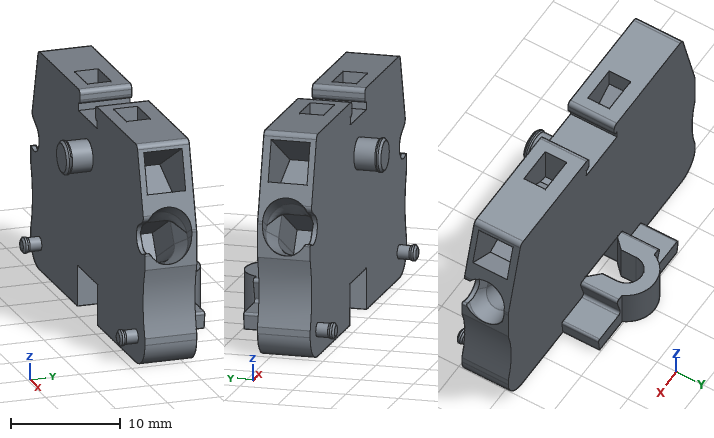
import cadquery as cq
import math

LENGTH = 31.97
HALF = LENGTH / 2
HEIGHT = 21.0
THICKNESS = 5.0
SLANT_ANGLE = 15.0
SLANT_START_Z = 12.95
SLANT_ROUND = 0.95
TOP_ROUND = 0.55
BOTTOM_ROUND = 2.43
GRIP_BOTTOM_Z = 3.07
GRIP_TOP_Z = 9.65
GRIP_DEPTH = 0.5

OPENING_HALF = 2.62
OPENING_FLOOR_Z = 18.93
RIM_HALF = 2.15
RIM_BOTTOM_Z = 19.63
RIM_ROUND = 0.45

TEST_INNER_X = 3.65
TEST_OUTER_X = 7.3
TEST_BREAK_X = 4.48
TEST_FRONT_Y = 1.2
TEST_BACK_Y = 3.52
TEST_DEPTH = 1.92
TEST_SHALLOW_ANGLE = 12.0

TOOL_FRONT_Y = 0.58
TOOL_BACK_Y = 4.25
TOOL_TOP_Z = 20.3
TOOL_BOTTOM_Z = 16.55
TOOL_FLOOR_LENGTH = 3.45
TOOL_ROOF_LENGTH = 7.2

ENTRY_ANGLE = 30.0
ENTRY_CENTRE_Y = 2.33
ENTRY_CENTRE_Z = 12.82
ENTRY_RADIUS = 2.17
ENTRY_FLAT = 0.55
ENTRY_DEPTH = 1.5
FUNNEL_LENGTH = 2.15
DUCT_WIDTH = 3.05
DUCT_TOP = 1.98
DUCT_LENGTH = 5.75
OUTSIDE = 3.2

NOTCH_RADIUS = 1.37
NOTCH_END_X = 15.0
NOTCH_END_Z = 12.3
NOTCH_DEPTH = 0.95
NOTCH_UPPER_LIP = 0.58
NOTCH_LOWER_LIP = 0.15

TAB_HEIGHT = 3.93
TAB_DEPTH = 3.93
BLOCK_HALF = 3.7
BLOCK_UNDERCUT = 17.0
BLOCK_ROUND = 0.3
WING_HALF = 6.85
WING_HEIGHT = 1.6
WING_UNDERCUT = 7.6
WING_ROUND = 0.22
RING_Y = 7.65
RING_RADIUS = 3.05
KEYHOLE_RADIUS = 1.6
MOUTH_HALF = 2.7
MOUTH_CHAMFER = MOUTH_HALF - KEYHOLE_RADIUS
RECESS_WIDTH = 5.55
RECESS_X = -0.05

MAIN_PIN_Z = 15.5
MAIN_PIN_DIAMETER = 3.0
MAIN_PIN_LENGTH = 2.53
MAIN_LIP_START = 1.98
MAIN_LIP_END = 2.3
MAIN_LIP_DIAMETER = 3.2
MAIN_TIP_DIAMETER = 2.75
SMALL_PIN_X = 13.5
SMALL_PIN_Z = 2.53
SMALL_PIN_DIAMETER = 1.3
SMALL_PIN_LENGTH = 1.73
SMALL_LIP_START = 1.12
SMALL_LIP_END = 1.55
SMALL_LIP_DIAMETER = 1.5
SMALL_TIP_DIAMETER = 1.02

SLANT_TAN = math.tan(math.radians(SLANT_ANGLE))
ENTRY_COS = math.cos(math.radians(ENTRY_ANGLE))
ENTRY_SIN = math.sin(math.radians(ENTRY_ANGLE))
ENTRY_TAN = math.tan(math.radians(ENTRY_ANGLE))


def slant_x(z):
    """X of the left slanted face at height z."""
    return -HALF + (z - SLANT_START_Z) * SLANT_TAN


def prism(outline, y_front, y_back):
    """Extrude a closed XZ outline between two Y positions."""
    sketch = cq.Workplane("XZ", origin=(0, y_front, 0)).polyline(outline).close()
    return sketch.extrude(y_front - y_back)


def nearest_edge(x, y, z):
    return cq.selectors.NearestToPointSelector((x, y, z))


def half_plate():
    """Left half of the housing outline with its rounded corners and rims."""
    mid_y = THICKNESS / 2
    plate = (
        cq.Workplane("XZ")
        .moveTo(0, 0)
        .lineTo(-HALF, 0)
        .lineTo(-HALF, GRIP_BOTTOM_Z)
        .threePointArc((-HALF + GRIP_DEPTH, (GRIP_BOTTOM_Z + GRIP_TOP_Z) / 2), (-HALF, GRIP_TOP_Z))
        .lineTo(-HALF, SLANT_START_Z)
        .lineTo(slant_x(HEIGHT), HEIGHT)
        .lineTo(-RIM_HALF, HEIGHT)
        .lineTo(-RIM_HALF, RIM_BOTTOM_Z)
        .lineTo(-OPENING_HALF, RIM_BOTTOM_Z)
        .lineTo(-OPENING_HALF, OPENING_FLOOR_Z)
        .lineTo(0, OPENING_FLOOR_Z)
        .close()
        .extrude(-THICKNESS)
    )
    plate = plate.edges(nearest_edge(-HALF, mid_y, 0)).fillet(BOTTOM_ROUND)
    plate = plate.edges(nearest_edge(-HALF, mid_y, SLANT_START_Z)).fillet(SLANT_ROUND)
    plate = plate.edges(nearest_edge(slant_x(HEIGHT), mid_y, HEIGHT)).fillet(TOP_ROUND)

    for rim_z in (HEIGHT, RIM_BOTTOM_Z):
        plate = plate.edges(nearest_edge(-RIM_HALF, mid_y, rim_z)).fillet(RIM_ROUND)
    return plate


def test_pocket():
    """Pocket with upright walls and a floor that falls towards the middle."""
    outer_z = HEIGHT - TEST_DEPTH
    break_z = outer_z - (TEST_OUTER_X - TEST_BREAK_X) * ENTRY_TAN
    shallow_drop = (TEST_BREAK_X - TEST_INNER_X) * math.tan(math.radians(TEST_SHALLOW_ANGLE))
    outline = [
        (-TEST_OUTER_X, HEIGHT),
        (-TEST_OUTER_X, outer_z),
        (-TEST_BREAK_X, break_z),
        (-TEST_INNER_X, break_z - shallow_drop),
        (-TEST_INNER_X, HEIGHT),
    ]
    return prism(outline, TEST_FRONT_Y, TEST_BACK_Y)


def tool_pocket():
    """Wedge-shaped pocket: floor and roof fall inwards and a rising face joins them."""
    top_x = slant_x(TOOL_TOP_Z)
    bottom_x = slant_x(TOOL_BOTTOM_Z)
    outline = [
        (top_x, TOOL_TOP_Z),
        (bottom_x, TOOL_BOTTOM_Z),
        (bottom_x + TOOL_FLOOR_LENGTH * ENTRY_COS, TOOL_BOTTOM_Z - TOOL_FLOOR_LENGTH * ENTRY_SIN),
        (top_x + TOOL_ROOF_LENGTH * ENTRY_COS, TOOL_TOP_Z - TOOL_ROOF_LENGTH * ENTRY_SIN),
    ]
    return prism(outline, TOOL_FRONT_Y, TOOL_BACK_Y)


def entry_plane(depth):
    """Plane across the wire entry; its local x points upwards across the entry axis."""
    return cq.Plane(
        origin=(-HALF + depth * ENTRY_COS, ENTRY_CENTRE_Y, ENTRY_CENTRE_Z - depth * ENTRY_SIN),
        xDir=(ENTRY_SIN, 0, ENTRY_COS),
        normal=(ENTRY_COS, 0, -ENTRY_SIN),
    )


def mouth_outline(work):
    """Oblong: half circles above and below two short flats."""
    flat = ENTRY_FLAT / 2
    return (
        work.moveTo(-flat, -ENTRY_RADIUS)
        .lineTo(flat, -ENTRY_RADIUS)
        .threePointArc((flat + ENTRY_RADIUS, 0), (flat, ENTRY_RADIUS))
        .lineTo(-flat, ENTRY_RADIUS)
        .threePointArc((-flat - ENTRY_RADIUS, 0), (-flat, -ENTRY_RADIUS))
        .close()
    )


def duct_outline(work):
    """U shape: flat roof, upright sides and a half-round floor."""
    flat = ENTRY_FLAT / 2
    radius = DUCT_WIDTH / 2
    return (
        work.moveTo(-flat, -radius)
        .lineTo(DUCT_TOP, -radius)
        .lineTo(DUCT_TOP, radius)
        .lineTo(-flat, radius)
        .threePointArc((-flat - radius, 0), (-flat, -radius))
        .close()
    )


def wire_entry():
    """Oblong mouth, a funnel narrowing to the duct, and the duct itself."""
    mouth = mouth_outline(cq.Workplane(entry_plane(-OUTSIDE))).extrude(OUTSIDE + ENTRY_DEPTH)
    funnel_start = mouth_outline(cq.Workplane(entry_plane(ENTRY_DEPTH)))
    funnel = duct_outline(funnel_start.workplane(offset=FUNNEL_LENGTH)).loft(ruled=True)
    duct = duct_outline(cq.Workplane(entry_plane(ENTRY_DEPTH + FUNNEL_LENGTH))).extrude(DUCT_LENGTH)
    return mouth.union(funnel).union(duct)


def cut_front_notch(plate):
    """Cut the round-ended notch along the entry direction and round its two lips."""
    run = 2 * OUTSIDE
    slot = (
        cq.Workplane("XZ")
        .center(-NOTCH_END_X, NOTCH_END_Z)
        .transformed(rotate=(0, 0, -ENTRY_ANGLE))
        .moveTo(-run, NOTCH_RADIUS)
        .lineTo(0, NOTCH_RADIUS)
        .threePointArc((NOTCH_RADIUS, 0), (0, -NOTCH_RADIUS))
        .lineTo(-run, -NOTCH_RADIUS)
        .close()
        .extrude(-NOTCH_DEPTH)
    )
    plate = plate.cut(slot)

    axis_z = NOTCH_END_Z + (HALF - NOTCH_END_X) * ENTRY_TAN
    side_rise = NOTCH_RADIUS / ENTRY_COS
    upper_run = (axis_z + side_rise - SLANT_START_Z) / (1 / SLANT_TAN + ENTRY_TAN)
    upper_lip = (-HALF + upper_run, NOTCH_DEPTH / 2, SLANT_START_Z + upper_run / SLANT_TAN)
    lower_lip = (-HALF, NOTCH_DEPTH / 2, axis_z - side_rise)
    plate = plate.edges(nearest_edge(*upper_lip)).fillet(NOTCH_UPPER_LIP)
    return plate.edges(nearest_edge(*lower_lip)).fillet(NOTCH_LOWER_LIP)


def tab_step(half_width, height, undercut, rounding):
    """Block behind the plate whose ends lean inwards towards the bottom, top corners rounded."""
    lean = height * math.tan(math.radians(undercut))
    outline = [
        (-half_width + lean, 0),
        (half_width - lean, 0),
        (half_width, height),
        (-half_width, height),
    ]
    step = prism(outline, THICKNESS, THICKNESS + TAB_DEPTH)
    return step.edges("|Y and >Z").fillet(rounding)


def rear_tab():
    """Winged block with a half-round ring bulging from its back."""
    block = tab_step(BLOCK_HALF, TAB_HEIGHT, BLOCK_UNDERCUT, BLOCK_ROUND)
    wings = tab_step(WING_HALF, WING_HEIGHT, WING_UNDERCUT, WING_ROUND)
    tab = block.union(wings)
    corner_x = BLOCK_HALF - (TAB_HEIGHT - WING_HEIGHT) * math.tan(math.radians(BLOCK_UNDERCUT))
    for x in (-corner_x, corner_x):
        corner = nearest_edge(x, THICKNESS + TAB_DEPTH / 2, WING_HEIGHT)
        tab = tab.edges(corner).fillet(BLOCK_ROUND)
    ring = cq.Workplane("XY").center(0, RING_Y).circle(RING_RADIUS).extrude(TAB_HEIGHT)
    return tab.union(ring)


def keyhole():
    """Recess through the plate plus the chamfered, round-ended slot in the tab."""
    recess = (
        cq.Workplane("XY")
        .center(RECESS_X, THICKNESS / 2)
        .rect(RECESS_WIDTH, THICKNESS)
        .extrude(TAB_HEIGHT)
    )
    slot = (
        cq.Workplane("XY")
        .moveTo(-MOUTH_HALF, THICKNESS)
        .lineTo(-KEYHOLE_RADIUS, THICKNESS + MOUTH_CHAMFER)
        .lineTo(-KEYHOLE_RADIUS, RING_Y)
        .threePointArc((0, RING_Y + KEYHOLE_RADIUS), (KEYHOLE_RADIUS, RING_Y))
        .lineTo(KEYHOLE_RADIUS, THICKNESS + MOUTH_CHAMFER)
        .lineTo(MOUTH_HALF, THICKNESS)
        .close()
        .extrude(TAB_HEIGHT)
    )
    return recess.union(slot)


def pin(length, lip_start, lip_end, shaft_diameter, lip_diameter, tip_diameter):
    """Pin pointing to -Y: the shaft flares into a lip, then tapers to its tip."""
    profile = [
        (0, 0),
        (shaft_diameter / 2, 0),
        (shaft_diameter / 2, -lip_start),
        (lip_diameter / 2, -(lip_start + lip_end) / 2),
        (lip_diameter / 2, -lip_end),
        (tip_diameter / 2, -length),
        (0, -length),
    ]
    return cq.Workplane("XY").polyline(profile).close().revolve(360, (0, 0, 0), (0, 1, 0))


def main_pin():
    turned = pin(
        MAIN_PIN_LENGTH,
        MAIN_LIP_START,
        MAIN_LIP_END,
        MAIN_PIN_DIAMETER,
        MAIN_LIP_DIAMETER,
        MAIN_TIP_DIAMETER,
    )
    return turned.translate((0, 0, MAIN_PIN_Z))


def small_pin(x):
    turned = pin(
        SMALL_PIN_LENGTH,
        SMALL_LIP_START,
        SMALL_LIP_END,
        SMALL_PIN_DIAMETER,
        SMALL_LIP_DIAMETER,
        SMALL_TIP_DIAMETER,
    )
    return turned.translate((x, 0, SMALL_PIN_Z))


half = cut_front_notch(half_plate())
half = half.cut(test_pocket()).cut(tool_pocket()).cut(wire_entry())
housing = half.union(half.mirror("YZ"))

result = housing.union(rear_tab()).cut(keyhole())
result = result.union(main_pin())
for pin_x in (-SMALL_PIN_X, SMALL_PIN_X):
    result = result.union(small_pin(pin_x))